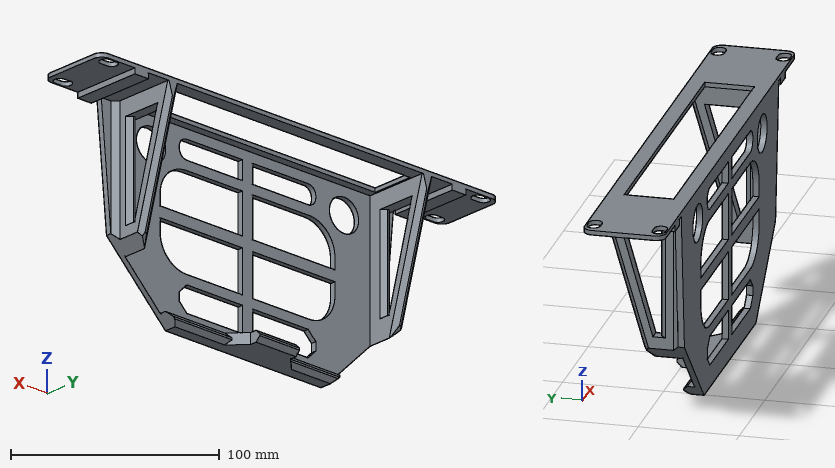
import cadquery as cq

plate_length = 260.4
plate_depth = 40.4
total_height = 110.0
plate_thickness = 2.3
plate_corner_radius = 5.0

opening_length = 157.8
opening_depth = 24.5

mount_slot_length = 10.5
mount_slot_width = 6.5
mount_slot_pitch_x = 243.0
mount_slot_pitch_y = 32.3

tab_inner_x = 99.2
tab_outer_x = 108.0
tab_drop = 3.0

panel_thickness = 3.0
panel_top_half = 95.5
panel_shoulder_half = 89.3
panel_bottom_half = 50.8
panel_corner_drop = panel_shoulder_half - panel_bottom_half
panel_shoulder_z = panel_corner_drop - total_height

member_width = 6.2
edge_bevel = 2.5

frame_gusset = 3.0
frame_outer_x = panel_shoulder_half - frame_gusset
frame_inner_x = frame_outer_x - member_width
frame_vertical_end_z = -9.6
frame_slope_end = (21.0, -75.0)
frame_foot_y = 17.0
frame_bottom_z = panel_shoulder_z - frame_gusset - member_width

window_top_z = -11.7
window_bottom_z = -68.7
window_front_y = 12.8
window_top_rear_y = 32.8
window_bottom_rear_y = 16.5

vent_bar_half = 3.5
large_vent_half = 57.0
large_vent_top_z = -24.2
large_vent_bottom_z = -78.4
large_vent_radius = 17.0
cross_bar_top_z = -47.6
cross_bar_bottom_z = -54.0
small_vent_half = 44.5
upper_vent_top_z = -7.8
upper_vent_bottom_z = -18.7
upper_vent_radius = 5.0
lower_vent_top_z = -83.8
lower_vent_bottom_z = -98.7
lower_vent_chamfer = 5.0

cable_hole_diameter = 19.0
cable_hole_x = 63.0
cable_hole_z = -17.5

rib_depth = 9.5
hook_depth = 22.0
hook_center_x = -3.5
hook_half_width = 13.0
hook_flare_y = 15.5

rib_bottom_z = -total_height
rib_top_z = rib_bottom_z + member_width
mid_depth = plate_depth / 2


def span_box(x0, x1, y0, y1, z0, z1):
    """Box between two opposite corners."""
    return cq.Workplane("XY").box(x1 - x0, y1 - y0, z1 - z0, centered=False).translate((x0, y0, z0))


def extrude_xz(points, depth):
    """Outline in X and Z, extruded from the front face toward +Y."""
    return cq.Workplane("XZ").polyline(points).close().extrude(-depth)


def extrude_yz(points, x0, x1):
    """Outline in Y and Z, extruded between two X positions."""
    return cq.Workplane("YZ").workplane(offset=x0).polyline(points).close().extrude(x1 - x0)


def mirrored_pair(right_side):
    return right_side.union(right_side.mirror("YZ"))


def panel_outline():
    right = [
        (panel_bottom_half, -total_height),
        (panel_shoulder_half, panel_shoulder_z),
        (panel_top_half, -plate_thickness),
        (panel_top_half, 0),
    ]
    left = [(-x, z) for x, z in reversed(right)]
    return right + left


def make_plate():
    plate = (
        cq.Workplane("XY")
        .center(0, mid_depth)
        .rect(plate_length, plate_depth)
        .extrude(-plate_thickness)
        .edges("|Z")
        .fillet(plate_corner_radius)
    )
    mount_slots = (
        cq.Workplane("XY")
        .center(0, mid_depth)
        .rarray(mount_slot_pitch_x, mount_slot_pitch_y, 2, 2)
        .slot2D(mount_slot_length, mount_slot_width)
        .extrude(-plate_thickness)
    )
    opening = (
        cq.Workplane("XY")
        .center(0, mid_depth)
        .rect(opening_length, opening_depth)
        .extrude(-plate_thickness)
    )
    return plate.cut(mount_slots).cut(opening)


def make_tabs():
    tab = span_box(
        tab_inner_x, tab_outer_x,
        0, plate_depth,
        -plate_thickness - tab_drop, -plate_thickness,
    )
    return mirrored_pair(tab)


def vent_block(half_length, top_z, bottom_z):
    return span_box(-half_length, half_length, 0, panel_thickness, bottom_z, top_z)


def make_vents():
    large = vent_block(large_vent_half, large_vent_top_z, large_vent_bottom_z)
    large = large.edges("|Y").fillet(large_vent_radius)
    large = large.cut(vent_block(large_vent_half, cross_bar_top_z, cross_bar_bottom_z))
    upper = vent_block(small_vent_half, upper_vent_top_z, upper_vent_bottom_z)
    upper = upper.edges("|Y").fillet(upper_vent_radius)
    lower = vent_block(small_vent_half, lower_vent_top_z, lower_vent_bottom_z)
    lower = lower.edges("|Y").chamfer(lower_vent_chamfer)
    upright_bar = vent_block(vent_bar_half, 0, -total_height)
    return large.union(upper).union(lower).cut(upright_bar)


def make_cable_holes():
    return (
        cq.Workplane("XZ")
        .pushPoints([(-cable_hole_x, cable_hole_z), (cable_hole_x, cable_hole_z)])
        .circle(cable_hole_diameter / 2)
        .extrude(-panel_thickness)
    )


def make_rear_bevel(face_x, inward):
    """Cutter for one bevel of the sloping rear edge, sheared along the slope."""
    slope_y, slope_z = frame_slope_end
    slope = (plate_depth - slope_y) / (frame_vertical_end_z - slope_z)

    def section(z):
        ridge_y = slope_y + (z - slope_z) * slope
        return [
            (face_x, ridge_y - edge_bevel),
            (face_x, ridge_y + edge_bevel),
            (face_x + inward, ridge_y + edge_bevel),
            (face_x + inward, ridge_y),
        ]

    return (
        cq.Workplane("XY").workplane(offset=frame_bottom_z)
        .polyline(section(frame_bottom_z)).close()
        .workplane(offset=-plate_thickness - frame_bottom_z)
        .polyline(section(-plate_thickness)).close()
        .loft(ruled=True)
    )


def make_side_frame():
    profile = [
        (0, -plate_thickness),
        (plate_depth, -plate_thickness),
        (plate_depth, frame_vertical_end_z),
        frame_slope_end,
        (frame_foot_y, frame_bottom_z),
        (0, frame_bottom_z),
    ]
    frame = extrude_yz(profile, frame_inner_x, frame_outer_x)

    for face_x, inward in ((frame_outer_x, -edge_bevel), (frame_inner_x, edge_bevel)):
        frame = frame.cut(make_rear_bevel(face_x, inward))

    window = extrude_yz(
        [
            (window_front_y, window_top_z),
            (window_top_rear_y, window_top_z),
            (window_bottom_rear_y, window_bottom_z),
            (window_front_y, window_bottom_z),
        ],
        frame_inner_x, frame_outer_x,
    )
    bevels = (
        cq.Workplane("XY").workplane(offset=window_bottom_z)
        .polyline([
            (frame_inner_x, window_front_y - edge_bevel),
            (frame_inner_x + edge_bevel, window_front_y),
            (frame_outer_x - edge_bevel, window_front_y),
            (frame_outer_x, window_front_y - edge_bevel),
            (frame_outer_x, window_front_y + edge_bevel),
            (frame_inner_x, window_front_y + edge_bevel),
        ]).close()
        .extrude(window_top_z - window_bottom_z)
    )
    frame = frame.cut(window).cut(bevels)

    gusset = (
        cq.Workplane("XY").workplane(offset=-plate_thickness)
        .polyline([
            (frame_outer_x, panel_thickness),
            (frame_outer_x + frame_gusset, panel_thickness),
            (frame_outer_x, panel_thickness + frame_gusset),
        ]).close()
        .extrude(frame_bottom_z + plate_thickness)
    )
    return frame.union(gusset)


def beveled_bar(depth, x0, x1):
    """Bar along X whose free rear edge is beveled above and below."""
    return extrude_yz(
        [
            (0, rib_bottom_z),
            (depth - edge_bevel, rib_bottom_z),
            (depth, rib_bottom_z + edge_bevel),
            (depth, rib_top_z - edge_bevel),
            (depth - edge_bevel, rib_top_z),
            (0, rib_top_z),
        ],
        x0, x1,
    )


def make_hook():
    root_half = hook_half_width + hook_flare_y
    bar = beveled_bar(hook_depth, hook_center_x - root_half, hook_center_x + root_half)
    plan = (
        cq.Workplane("XY").workplane(offset=rib_bottom_z)
        .polyline([
            (hook_center_x - root_half, 0),
            (hook_center_x - hook_half_width, hook_flare_y),
            (hook_center_x - hook_half_width, hook_depth),
            (hook_center_x + hook_half_width, hook_depth),
            (hook_center_x + hook_half_width, hook_flare_y),
            (hook_center_x + root_half, 0),
        ]).close()
        .extrude(member_width)
    )
    return bar.intersect(plan)


panel = extrude_xz(panel_outline(), panel_thickness).cut(make_vents()).cut(make_cable_holes())
rear_members = (
    mirrored_pair(make_side_frame())
    .union(beveled_bar(rib_depth, -panel_shoulder_half, panel_shoulder_half))
    .union(make_hook())
    .intersect(extrude_xz(panel_outline(), plate_depth))
)
result = make_plate().union(make_tabs()).union(panel).union(rear_members)